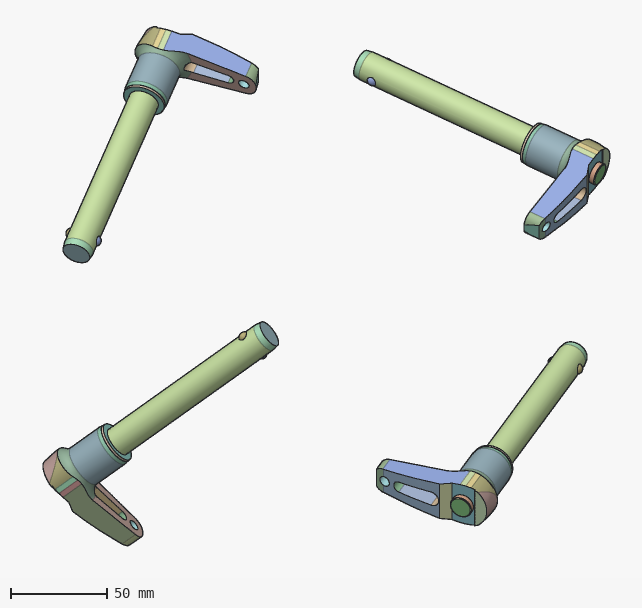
import cadquery as cq
import math

total_length = 146.2

shank_radius = 8.0
tip_radius = 7.5
tip_taper_length = 3.7
ball_radius = 2.9
ball_offset = 6.7
ball_y = 11.3

collar_radius = 11.3
hub_radius = 11.7
hub_taper_end_radius = 11.4
collar_y = 104.2
hub_taper_y = 105.5
hub_y = 107.7
flare_y = 127.2
flare_radius = 5.8
lever_bottom_y = flare_y + flare_radius

head_top_y = 143.0
rim_top_y = 143.5
rim_end_x = -6.7
ramp_start_x = 6.3
crest_x = 12.1
crest_y = 145.5
back_mid_x = 29.2
back_mid_y = 143.9
back_end_x = 46.0
back_end_y = 141.1
end_top_x = 50.6
end_top_y = 140.0
end_x = 52.0
end_bottom_y = 131.6
lever_root_x = 13.9

head_arc_end_x = -4.7
head_arc_half_width = 12.0
flat_half_length = 1.6
max_width = 24.7
max_half_width = max_width / 2
end_half_width = 6.9
end_corner_radius = 6.3

cone_bottom_radius = 15.0
cone_top_radius = 13.7
cone_bottom_y = 132.6

slot_inner_x = 17.0
slot_inner_radius = 4.2
slot_outer_x = 36.4
slot_outer_radius = 3.2
hole_x = 45.3
hole_radius = 2.9

button_radius = 6.0
button_chamfer = 0.5


def extrude_along_y(outline):
    """Extrude an XZ-plane outline over the full pin length."""
    return outline.extrude(-total_length)


def revolve_about_y(profile):
    return profile.close().revolve(360, (0, 0, 0), (0, 1, 0))


def make_shank():
    shank = revolve_about_y(
        cq.Workplane("XY")
        .lineTo(tip_radius, 0)
        .lineTo(shank_radius, tip_taper_length)
        .lineTo(shank_radius, hub_y)
        .lineTo(0, hub_y)
    )
    for side in (-1, 1):
        ball = cq.Workplane("XY").sphere(ball_radius).translate((side * ball_offset, ball_y, 0))
        shank = shank.union(ball)
    return shank


def make_hub():
    """Stepped hub whose concave flare runs out at the underside of the lever."""
    flare_outer_radius = hub_radius + flare_radius
    flare_mid_offset = flare_radius * math.sqrt(0.5)
    return revolve_about_y(
        cq.Workplane("XY")
        .moveTo(0, collar_y)
        .lineTo(collar_radius, collar_y)
        .lineTo(collar_radius, hub_taper_y)
        .lineTo(hub_taper_end_radius, hub_taper_y)
        .lineTo(hub_radius, hub_y)
        .lineTo(hub_radius, flare_y)
        .threePointArc(
            (flare_outer_radius - flare_mid_offset, flare_y + flare_mid_offset),
            (flare_outer_radius, lever_bottom_y),
        )
        .lineTo(0, lever_bottom_y)
    )


def make_outline():
    """Teardrop prism: round head tapering to an end with rounded corners."""
    prism = extrude_along_y(
        cq.Workplane("XZ")
        .moveTo(head_arc_end_x, head_arc_half_width)
        .lineTo(-flat_half_length, max_half_width)
        .lineTo(flat_half_length, max_half_width)
        .lineTo(end_x, end_half_width)
        .lineTo(end_x, -end_half_width)
        .lineTo(flat_half_length, -max_half_width)
        .lineTo(-flat_half_length, -max_half_width)
        .lineTo(head_arc_end_x, -head_arc_half_width)
        .threePointArc((-cone_bottom_radius, 0), (head_arc_end_x, head_arc_half_width))
        .close()
    )
    return prism.edges("|Y and >X").fillet(end_corner_radius)


def make_lever_profile():
    """Side profile of the handle above the flare, extruded across Z."""
    left_x = -cone_bottom_radius
    return (
        cq.Workplane("XY")
        .moveTo(left_x, lever_bottom_y)
        .lineTo(left_x, rim_top_y)
        .lineTo(rim_end_x, rim_top_y)
        .lineTo(rim_end_x, head_top_y)
        .lineTo(ramp_start_x, head_top_y)
        .lineTo(crest_x, crest_y)
        .threePointArc((back_mid_x, back_mid_y), (back_end_x, back_end_y))
        .lineTo(end_top_x, end_top_y)
        .lineTo(end_x, end_bottom_y)
        .lineTo(lever_root_x, lever_bottom_y)
        .close()
        .extrude(max_half_width, both=True)
    )


def make_head_trim():
    """Cone for the head side, joined to a block that leaves the lever side whole."""
    slope = (cone_top_radius - cone_bottom_radius) / (rim_top_y - cone_bottom_y)
    top_radius = cone_bottom_radius + slope * (total_length - cone_bottom_y)
    cone = revolve_about_y(
        cq.Workplane("XY")
        .lineTo(cone_bottom_radius, 0)
        .lineTo(cone_bottom_radius, cone_bottom_y)
        .lineTo(top_radius, total_length)
        .lineTo(0, total_length)
    )
    block = cq.Workplane("XY").box(
        end_x, total_length, max_width, centered=(False, False, True)
    )
    return cone.union(block)


def make_slot():
    """Tapered slot bounded by two arcs and their common tangents."""
    tangent_angle = math.acos((slot_inner_radius - slot_outer_radius) / (slot_outer_x - slot_inner_x))
    tangent_x = math.cos(tangent_angle)
    tangent_z = math.sin(tangent_angle)
    inner_x = slot_inner_x + slot_inner_radius * tangent_x
    inner_z = slot_inner_radius * tangent_z
    outer_x = slot_outer_x + slot_outer_radius * tangent_x
    outer_z = slot_outer_radius * tangent_z
    return extrude_along_y(
        cq.Workplane("XZ")
        .moveTo(inner_x, inner_z)
        .lineTo(outer_x, outer_z)
        .threePointArc((slot_outer_x + slot_outer_radius, 0), (outer_x, -outer_z))
        .lineTo(inner_x, -inner_z)
        .threePointArc((slot_inner_x - slot_inner_radius, 0), (inner_x, inner_z))
        .close()
    )


def make_handle():
    outline = make_outline().intersect(make_head_trim())
    handle = make_lever_profile().union(make_hub()).intersect(outline)
    hole = extrude_along_y(cq.Workplane("XZ").center(hole_x, 0).circle(hole_radius))
    return handle.cut(make_slot()).cut(hole)


def make_button():
    button = (
        cq.Workplane("XZ", origin=(0, lever_bottom_y, 0))
        .circle(button_radius)
        .extrude(lever_bottom_y - total_length)
    )
    return button.faces(">Y").chamfer(button_chamfer)


result = make_handle().union(make_shank()).union(make_button())